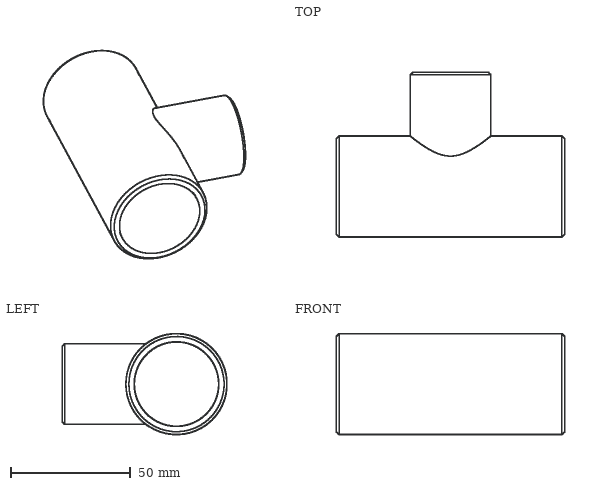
import cadquery as cq

run_length = 95.5
run_diameter = 42.2
bore_diameter = 35.1
wall = (run_diameter - bore_diameter) / 2

branch_reach = 47.75
branch_diameter = 33.7
branch_bore_diameter = branch_diameter - 2 * wall

run_chamfer = 1.2
branch_chamfer = 1.1


def run_cylinder(diameter):
    """Solid cylinder along X, centred on the origin."""
    return cq.Workplane("YZ").circle(diameter / 2).extrude(run_length / 2, both=True)


def branch_cylinder(diameter):
    """Solid cylinder from the run axis to the branch end."""
    return cq.Workplane("XZ").circle(diameter / 2).extrude(-branch_reach)


run = run_cylinder(run_diameter).faces("<X or >X").chamfer(run_chamfer)
branch = branch_cylinder(branch_diameter).faces(">Y").chamfer(branch_chamfer)

result = (
    run.union(branch)
    .cut(run_cylinder(bore_diameter))
    .cut(branch_cylinder(branch_bore_diameter))
)